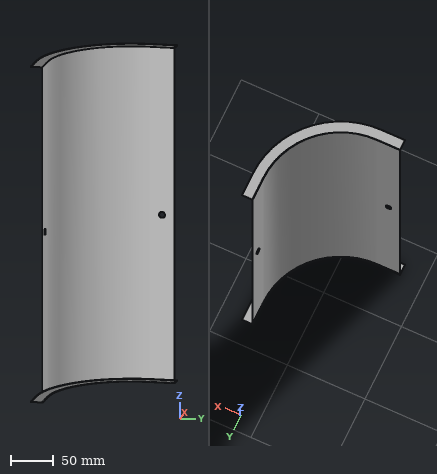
import cadquery as cq

INNER_RADIUS = 99.0
FLANGE_WIDTH = 14.0
SHEET = 0.8
LEG_LENGTH = 30.0
HEIGHT = 402.0
HOLE_DIAMETER = 7.0

WALL_RADIUS = INNER_RADIUS + SHEET
FLANGE_RADIUS = INNER_RADIUS + FLANGE_WIDTH
DIAGONAL = 0.5 ** 0.5


def curved_strip(inner_radius, outer_radius, height):
    """Quarter-round strip with two straight legs, bulging toward +X and -Y.

    The arc centre is the origin; the legs end at X = -LEG_LENGTH and Y = LEG_LENGTH.
    """
    outer_middle = (outer_radius * DIAGONAL, -outer_radius * DIAGONAL)
    inner_middle = (inner_radius * DIAGONAL, -inner_radius * DIAGONAL)
    return (
        cq.Workplane("XY")
        .moveTo(-LEG_LENGTH, -outer_radius)
        .lineTo(0, -outer_radius)
        .threePointArc(outer_middle, (outer_radius, 0))
        .lineTo(outer_radius, LEG_LENGTH)
        .lineTo(inner_radius, LEG_LENGTH)
        .lineTo(inner_radius, 0)
        .threePointArc(inner_middle, (0, -inner_radius))
        .lineTo(-LEG_LENGTH, -inner_radius)
        .close()
        .extrude(height)
    )


def leg_hole_cutter(plane, offset):
    """Cylinder normal to a leg, running outward from the arc centre at mid height."""
    return (
        cq.Workplane(plane)
        .center(offset, HEIGHT / 2)
        .circle(HOLE_DIAMETER / 2)
        .extrude(FLANGE_RADIUS)
    )


wall = curved_strip(INNER_RADIUS, WALL_RADIUS, HEIGHT)
bottom_flange = curved_strip(INNER_RADIUS, FLANGE_RADIUS, SHEET)
top_flange = bottom_flange.translate((0, 0, HEIGHT - SHEET))
body = wall.union(bottom_flange).union(top_flange)

front_hole = leg_hole_cutter("XZ", -LEG_LENGTH / 2)
side_hole = leg_hole_cutter("YZ", LEG_LENGTH / 2)

result = body.cut(front_hole).cut(side_hole)